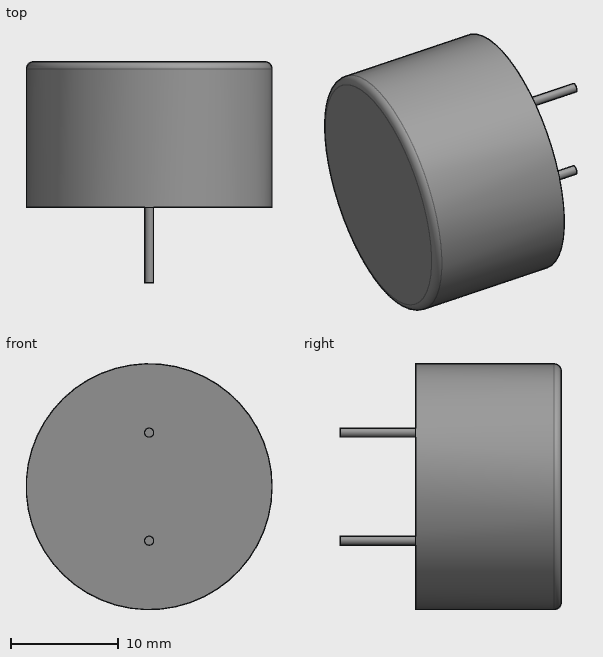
import cadquery as cq

body_diameter = 22.8
overall_length = 20.5
pin_length = 7.0
body_length = overall_length - pin_length
rim_radius = 0.7

pin_diameter = 0.85
pin_spacing = 10.0


def make_body():
    """Cylinder with a rounded rim on the face opposite the pins."""
    body = cq.Workplane("XZ").circle(body_diameter / 2).extrude(-body_length)
    return body.faces(">Y").edges().fillet(rim_radius)


def add_pins(body):
    """Round pins standing out of the flat face toward -Y."""
    pin_centers = [(0, -pin_spacing / 2), (0, pin_spacing / 2)]
    pins = cq.Workplane("XZ").pushPoints(pin_centers).circle(pin_diameter / 2).extrude(pin_length)
    return body.union(pins)


result = add_pins(make_body())